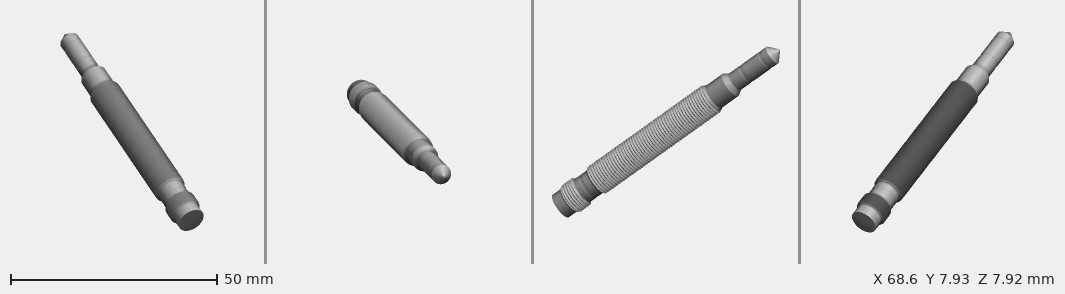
import cadquery as cq
import math

length = 68.58
thread_radius = 7.925 / 2

tip_radius = 0.3
pin_radius = 2.46
point_length = pin_radius - tip_radius

shoulder_start = 13.95
shoulder_length = 1.4
barrel_radius = 3.30
sleeve_radius = 3.36

groove_width = 1.05
groove_depth = 0.065
groove_slope = 0.22
pin_groove_starts = (3.75, 9.8)
sleeve_groove_start = 59.24

pitch = 0.7112
flank_angle = 30
thread_depth = pitch / 2 / math.tan(math.radians(flank_angle))
root_radius = thread_radius - thread_depth
first_crest = 20.99
main_ring_count = 51
rear_ring_offset = 57
rear_ring_count = 6

main_start = 20.45
main_end = 57.7
rear_start = 61.73
rear_end = 65.98
front_bevel_angle = 30
bevel_angle = 45

stock = 0.3
stock_radius = thread_radius + stock


def bevel_length(base_radius, angle):
    """Axial length of a bevel rising from base_radius to the uncut stock."""
    return (stock_radius - base_radius) / math.tan(math.radians(angle))


def revolve_about_x(points):
    """Turn a closed (x, radius) outline about the X axis."""
    return cq.Workplane("XY").polyline(points).close().revolve(360, (0, 0, 0), (1, 0, 0))


def crimp_groove(start, radius):
    """Outline points of a shallow groove with sloping sides."""
    end = start + groove_width
    floor_radius = radius - groove_depth
    return [
        (start, radius),
        (start + groove_slope, floor_radius),
        (end - groove_slope, floor_radius),
        (end, radius),
    ]


def threaded_stock(start, end, front_radius, rear_radius, front_angle):
    """Outline points of a bevelled length before its thread is cut."""
    return [
        (start, front_radius),
        (start + bevel_length(front_radius, front_angle), stock_radius),
        (end - bevel_length(rear_radius, bevel_angle), stock_radius),
        (end, rear_radius),
    ]


def turned_blank():
    """The whole part, with plain oversize lengths where the threads will be."""
    points = [(0, 0), (0, tip_radius), (point_length, pin_radius)]
    for start in pin_groove_starts:
        points += crimp_groove(start, pin_radius)
    points += [
        (shoulder_start, pin_radius),
        (shoulder_start + shoulder_length, barrel_radius),
    ]
    points += threaded_stock(main_start, main_end, barrel_radius, sleeve_radius, front_bevel_angle)
    points += crimp_groove(sleeve_groove_start, sleeve_radius)
    points += threaded_stock(rear_start, rear_end, sleeve_radius, sleeve_radius, bevel_angle)
    points += [(length, sleeve_radius), (length, 0)]
    return revolve_about_x(points)


def thread_cutter(start, ring_count):
    """Ring with a sawtooth bore that leaves sharp crests between V grooves."""
    clear_radius = stock_radius + stock
    points = [(start, clear_radius), (start, thread_radius)]
    for ring in range(ring_count):
        crest = start + ring * pitch
        points += [(crest + pitch / 2, root_radius), (crest + pitch, thread_radius)]
    points.append((start + ring_count * pitch, clear_radius))
    return revolve_about_x(points)


result = turned_blank()
result = result.cut(thread_cutter(first_crest, main_ring_count))
result = result.cut(thread_cutter(first_crest + rear_ring_offset * pitch, rear_ring_count))